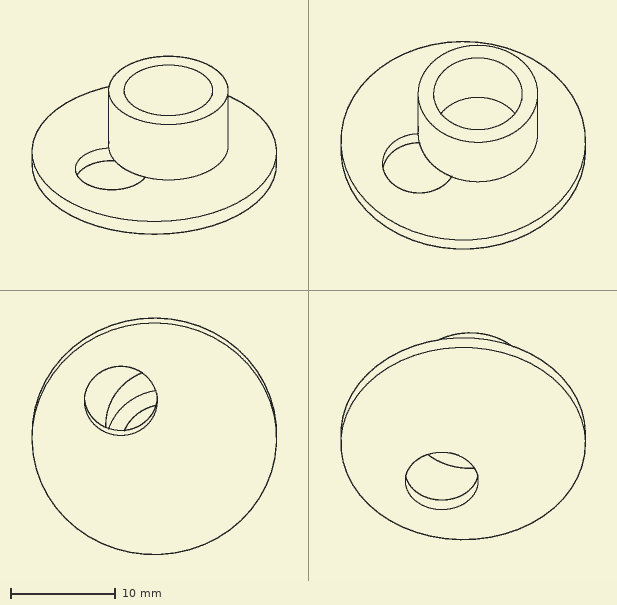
import cadquery as cq

flange_diameter = 23.5
flange_thickness = 1.5

total_height = 8
boss_outer_diameter = 11.5
boss_bore_diameter = 8.5
boss_offset_y = 1.67
boss_height = total_height - flange_thickness

hole_diameter = 7.0
hole_offset_y = -5.0

flange = (
    cq.Workplane("XY")
    .circle(flange_diameter / 2)
    .extrude(flange_thickness)
    .cut(
        cq.Workplane("XY")
        .center(0, hole_offset_y)
        .circle(hole_diameter / 2)
        .extrude(flange_thickness)
    )
)

boss = (
    cq.Workplane("XY", origin=(0, boss_offset_y, flange_thickness))
    .circle(boss_outer_diameter / 2)
    .circle(boss_bore_diameter / 2)
    .extrude(boss_height)
)

result = flange.union(boss)